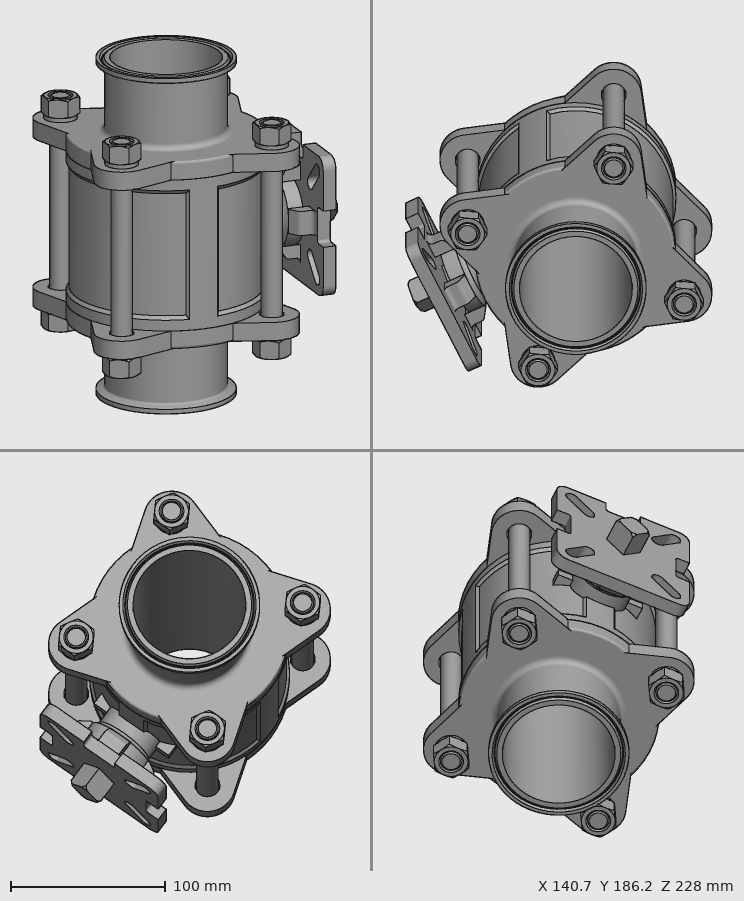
import cadquery as cq
import math


HALF_LENGTH = 114.0
BORE_D = 73.0
TUBE_D = 79.5
FERRULE_D = 91.0
FERRULE_RIM = 3.2
FERRULE_UNDERSIDE = 4.3
FERRULE_NECK_FILLET = 1.5
GROOVE_OUTER_D = 86.2
GROOVE_INNER_D = 80.3
GROOVE_DEPTH = 1.5
GROOVE_WALL = 1.1

FLANGE_TOP = 63.5
FLANGE_BOTTOM = 51.3
FLANGE_DISC_D = 130.0
BOLT_OFFSET = 52.5
FLANGE_SPAN = 140.7
LOBE_R = FLANGE_SPAN / 2 - BOLT_OFFSET
LOBE_SLOPE = 18.0
FLANGE_EDGE_FILLET = 1.5
TUBE_FILLET = 4.0

RIM_D = 129.5
PANEL_D = 125.9
PANEL_HALF_HEIGHT = 41.5
RIM_HALF_HEIGHT = 44.0
STRIP_OUTER_WIDTH = 19.5
STRIP_ROOT_WIDTH = 22.8
RECESS_MARGIN = 2.3
WEB_LENGTH = 59.7
WEB_THICKNESS = 6.5
WEB_TOP = 64.0

ROD_D = 14.0
ROD_END_D = 11.9
ROD_END_CHAMFER = 1.0
ROD_HOLE_D = 16.0
WASHER_D = 22.0
WASHER_THICKNESS = 2.7
NUT_ACROSS_FLATS = 22.0
NUT_TOP = 79.0
NUT_CHAMFER_ANGLE = 30.0
NUT_COUNTERSINK = 1.03
NUT_COUNTERSINK_D = 16.0

COLLAR_D = 40.0
COLLAR_TOP = 72.7
FLARE_START = 74.3
FLARE_START_D = 42.0
FLARE_SAG = 0.14
RING_BOTTOM = 76.0
RING_TOP = 86.5
RING_D = 47.0
LEG_WIDTH = 16.5
LEG_REACH = 31.0
LEG_BEND = 81.0
LEG_BEND_FILLET = 3.5
LEG_ROOT_FILLET = 3.5
PLATE_BOTTOM = 90.5
PLATE_TOP = 99.5
PLATE_SIZE = 94.5
PLATE_CORNER_R = 8.0
NOTCH_WIDTH = 24.6
NOTCH_DEPTH = 9.8
NOTCH_FILLET = 2.0
SLOT_WIDTH = 9.0
SLOT_OUTER = 36.5
SLOT_INNER = 24.9

STEM_TOP = 115.8
STEM_SQUARE = 16.9
STEM_CHAMFER = 2.0


def cylinder(diameter, bottom, top):
    """Solid cylinder on the Z axis."""
    return cq.Workplane("XY").workplane(offset=bottom).circle(diameter / 2).extrude(top - bottom)


def along_stem(height):
    """Workplane normal to the stem axis: local x is X, local y is Z, normal is +Y."""
    return cq.Workplane(cq.Plane(origin=(0, height, 0), xDir=(1, 0, 0), normal=(0, 1, 0)))


def upper_pipe_end():
    """Upper pipe end turned about Z: tube, ferrule and the fillet at its foot, without the bore."""
    tube_r = TUBE_D / 2
    ferrule_r = FERRULE_D / 2
    groove_outer_r = GROOVE_OUTER_D / 2
    groove_inner_r = GROOVE_INNER_D / 2
    underside = HALF_LENGTH - FERRULE_UNDERSIDE
    groove_floor = HALF_LENGTH - GROOVE_DEPTH
    neck_inset = FERRULE_NECK_FILLET * (1 - math.sqrt(0.5))
    tube_inset = TUBE_FILLET * (1 - math.sqrt(0.5))
    return (
        cq.Workplane("XZ")
        .moveTo(0, FLANGE_BOTTOM)
        .lineTo(tube_r + TUBE_FILLET, FLANGE_BOTTOM)
        .lineTo(tube_r + TUBE_FILLET, FLANGE_TOP)
        .threePointArc(
            (tube_r + tube_inset, FLANGE_TOP + tube_inset),
            (tube_r, FLANGE_TOP + TUBE_FILLET),
        )
        .lineTo(tube_r, underside - FERRULE_NECK_FILLET)
        .threePointArc(
            (tube_r + neck_inset, underside - neck_inset),
            (tube_r + FERRULE_NECK_FILLET, underside),
        )
        .lineTo(ferrule_r, HALF_LENGTH - FERRULE_RIM)
        .lineTo(ferrule_r, HALF_LENGTH)
        .lineTo(groove_outer_r, HALF_LENGTH)
        .lineTo(groove_outer_r - GROOVE_WALL, groove_floor)
        .lineTo(groove_inner_r + GROOVE_WALL, groove_floor)
        .lineTo(groove_inner_r, HALF_LENGTH)
        .lineTo(0, HALF_LENGTH)
        .close()
        .revolve(360, (0, 0, 0), (0, 1, 0))
    )


def corner_points():
    """Positions of the four tie rods."""
    return [(sx * BOLT_OFFSET, sy * BOLT_OFFSET) for sx in (-1, 1) for sy in (-1, 1)]


def quarter_turned(x, y, quarters):
    """Point turned about the origin by a number of quarter turns."""
    for _ in range(quarters):
        x, y = -y, x
    return (x, y)


def lobe_star():
    """Four-lobed flange outline: round corners joined by straight flanks that meet on the axes."""
    slope = math.radians(LOBE_SLOPE)
    far = BOLT_OFFSET + LOBE_R * math.cos(slope)
    near = BOLT_OFFSET - LOBE_R * math.sin(slope)
    waist = far - near * math.tan(slope)
    tip = BOLT_OFFSET + LOBE_R * math.sqrt(0.5)
    outline = cq.Workplane("XY").workplane(offset=FLANGE_BOTTOM).moveTo(waist, 0)
    for quarter in range(4):
        outline = outline.lineTo(*quarter_turned(far, near, quarter))
        outline = outline.threePointArc(
            quarter_turned(tip, tip, quarter),
            quarter_turned(near, far, quarter),
        )
        outline = outline.lineTo(*quarter_turned(0, waist, quarter))
    return outline.close().extrude(FLANGE_TOP - FLANGE_BOTTOM)


def upper_flange():
    """Round disc with a softened outer edge, joined to the four bolt lobes."""
    disc = cylinder(FLANGE_DISC_D, FLANGE_BOTTOM, FLANGE_TOP)
    disc = disc.faces(">Z").edges().fillet(FLANGE_EDGE_FILLET)
    holes = (
        cq.Workplane("XY")
        .workplane(offset=FLANGE_BOTTOM)
        .pushPoints(corner_points())
        .circle(ROD_HOLE_D / 2)
        .extrude(FLANGE_TOP - FLANGE_BOTTOM)
    )
    return disc.union(lobe_star()).cut(holes)


def panel_recess():
    """Shallow band cut from the drum, interrupted by raised strips at -X, +X and +Y."""
    panel_r = PANEL_D / 2
    rim_r = RIM_D / 2
    outside_r = rim_r + RECESS_MARGIN
    band = (
        cq.Workplane("XZ")
        .moveTo(panel_r, -PANEL_HALF_HEIGHT)
        .lineTo(panel_r, PANEL_HALF_HEIGHT)
        .lineTo(rim_r, RIM_HALF_HEIGHT)
        .lineTo(outside_r, RIM_HALF_HEIGHT)
        .lineTo(outside_r, -RIM_HALF_HEIGHT)
        .lineTo(rim_r, -RIM_HALF_HEIGHT)
        .close()
        .revolve(360, (0, 0, 0), (0, 1, 0))
    )
    root_half = STRIP_ROOT_WIDTH / 2
    crest_half = STRIP_OUTER_WIDTH / 2
    root_x = math.sqrt(panel_r**2 - root_half**2)
    crest_x = math.sqrt(rim_r**2 - crest_half**2)
    strip = (
        cq.Workplane("XY")
        .workplane(offset=-RIM_HALF_HEIGHT)
        .polyline([
            (0, -root_half),
            (root_x, -root_half),
            (crest_x, -crest_half),
            (outside_r, -crest_half),
            (outside_r, crest_half),
            (crest_x, crest_half),
            (root_x, root_half),
            (0, root_half),
        ])
        .close()
        .extrude(2 * RIM_HALF_HEIGHT)
    )
    for angle in (0, 90, 180):
        band = band.cut(strip.rotate((0, 0, 0), (0, 0, 1), angle))
    return band


def stem_web():
    """Thin rib across the foot of the stem collar."""
    return along_stem(0).rect(WEB_LENGTH, WEB_THICKNESS).extrude(WEB_TOP)


def tie_rod():
    """Rod with a washer and a nut at each end, on the Z axis."""
    rod = cylinder(ROD_D, -NUT_TOP, NUT_TOP)
    rod = rod.faces("<Z or >Z").edges().chamfer(ROD_END_CHAMFER, (ROD_D - ROD_END_D) / 2)
    washer_top = FLANGE_TOP + WASHER_THICKNESS
    nut_height = NUT_TOP - washer_top
    corner_d = NUT_ACROSS_FLATS / math.cos(math.pi / 6)
    chamfer_r = (corner_d - NUT_ACROSS_FLATS) / 2
    chamfer_height = chamfer_r * math.tan(math.radians(NUT_CHAMFER_ANGLE))
    blank = cylinder(corner_d, washer_top, NUT_TOP)
    blank = blank.faces("<Z or >Z").edges().chamfer(chamfer_height, chamfer_r)
    countersink_floor = cq.Vector(0, 0, NUT_TOP - NUT_COUNTERSINK)
    countersink = cq.Workplane(
        cq.Solid.makeCone(ROD_D / 2, NUT_COUNTERSINK_D / 2, NUT_COUNTERSINK, pnt=countersink_floor)
    )
    nut = (
        cq.Workplane("XY")
        .workplane(offset=washer_top)
        .polygon(6, corner_d)
        .extrude(nut_height)
        .intersect(blank)
        .cut(countersink)
    )
    fastener = cylinder(WASHER_D, FLANGE_TOP, washer_top).union(nut)
    return rod.union(fastener).union(fastener.mirror("XY"))


def collar_and_ring():
    """Round neck on the body that flares out to the bracket ring."""
    fillet_middle = (
        (COLLAR_D + FLARE_START_D) / 4 - FLARE_SAG,
        (COLLAR_TOP + FLARE_START) / 2,
    )
    return (
        cq.Workplane("XY")
        .lineTo(COLLAR_D / 2, 0)
        .lineTo(COLLAR_D / 2, COLLAR_TOP)
        .threePointArc(fillet_middle, (FLARE_START_D / 2, FLARE_START))
        .lineTo(RING_D / 2, RING_BOTTOM)
        .lineTo(RING_D / 2, RING_TOP)
        .lineTo(0, RING_TOP)
        .close()
        .revolve(360, (0, 0, 0), (0, 1, 0))
    )


def bracket_leg():
    """Leg on the +X side of the ring, rising to the plate."""
    leg = (
        cq.Workplane("XY")
        .workplane(offset=-LEG_WIDTH / 2)
        .polyline([
            (0, RING_BOTTOM),
            (RING_D / 2, RING_BOTTOM),
            (LEG_REACH, LEG_BEND),
            (LEG_REACH, PLATE_BOTTOM),
            (0, PLATE_BOTTOM),
        ])
        .close()
        .extrude(LEG_WIDTH)
    )
    bend = cq.selectors.NearestToPointSelector((LEG_REACH, LEG_BEND, 0))
    leg = leg.edges(bend).fillet(LEG_BEND_FILLET)
    arc_inset = LEG_ROOT_FILLET * (1 - math.sqrt(0.5))
    root = (
        cq.Workplane("XY")
        .workplane(offset=-LEG_WIDTH / 2)
        .moveTo(LEG_REACH, PLATE_BOTTOM)
        .lineTo(LEG_REACH, PLATE_BOTTOM - LEG_ROOT_FILLET)
        .threePointArc(
            (LEG_REACH + arc_inset, PLATE_BOTTOM - arc_inset),
            (LEG_REACH + LEG_ROOT_FILLET, PLATE_BOTTOM),
        )
        .close()
        .extrude(LEG_WIDTH)
    )
    inside = along_stem(RING_BOTTOM).circle(RING_D / 2).extrude(PLATE_BOTTOM - RING_BOTTOM)
    return leg.union(root).cut(inside)


def bracket_plate():
    """Square plate with notches in its +X, -X and +Z sides and diagonal bolt slots."""
    thickness = PLATE_TOP - PLATE_BOTTOM
    plate = along_stem(PLATE_BOTTOM).rect(PLATE_SIZE, PLATE_SIZE).extrude(thickness)
    plate = plate.edges("|Y").fillet(PLATE_CORNER_R)
    notch = (
        along_stem(PLATE_BOTTOM)
        .center(PLATE_SIZE / 2, 0)
        .rect(2 * NOTCH_DEPTH, NOTCH_WIDTH)
        .extrude(thickness)
        .edges("|Y and <X")
        .fillet(NOTCH_FILLET)
    )
    slot_middle = (SLOT_INNER + SLOT_OUTER) / math.sqrt(2)
    slot_length = (SLOT_OUTER - SLOT_INNER) * math.sqrt(2) + SLOT_WIDTH
    slot = (
        along_stem(PLATE_BOTTOM)
        .center(slot_middle, 0)
        .slot2D(slot_length, SLOT_WIDTH)
        .extrude(thickness)
    )
    for angle in (0, -90, 180):
        plate = plate.cut(notch.rotate((0, 0, 0), (0, 1, 0), angle))
    for angle in (45, 135, 225, 315):
        plate = plate.cut(slot.rotate((0, 0, 0), (0, 1, 0), angle))
    return plate


def square_stem():
    """Square drive with its corners on the X and Z directions and a conical end chamfer."""
    height = STEM_TOP - RING_BOTTOM
    diagonal = STEM_SQUARE * math.sqrt(2)
    square = (
        along_stem(RING_BOTTOM)
        .transformed(rotate=(0, 0, 45))
        .rect(STEM_SQUARE, STEM_SQUARE)
        .extrude(height)
    )
    envelope = along_stem(RING_BOTTOM).circle(diagonal / 2).extrude(height)
    return square.intersect(envelope.faces(">Y").edges().chamfer(STEM_CHAMFER))


valve = cylinder(RIM_D, -FLANGE_BOTTOM, FLANGE_BOTTOM).cut(panel_recess())
for end in (upper_flange(), upper_pipe_end()):
    valve = valve.union(end).union(end.mirror("XY"))
valve = valve.union(stem_web()).union(collar_and_ring())
leg = bracket_leg()
for quarter in range(4):
    valve = valve.union(leg.rotate((0, 0, 0), (0, 1, 0), 90 * quarter))
valve = valve.union(bracket_plate()).union(square_stem())
rod = tie_rod()
for x, y in corner_points():
    valve = valve.union(rod.translate((x, y, 0)))

result = valve.cut(cylinder(BORE_D, -HALF_LENGTH, HALF_LENGTH))